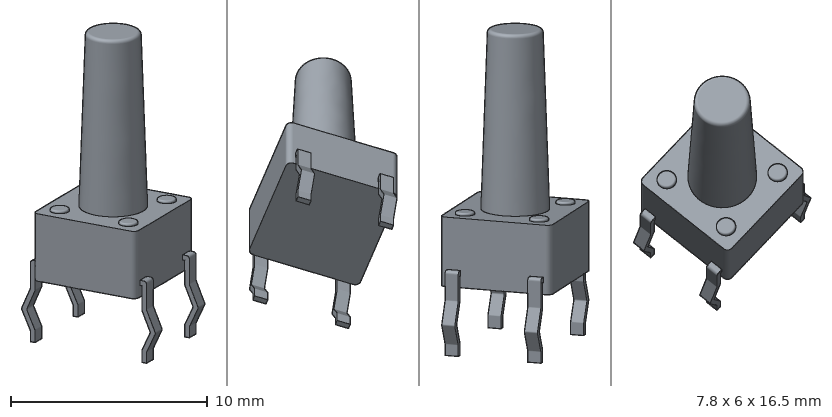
import cadquery as cq
import math

housing_width = 6.0
housing_bottom = 3.5
housing_top = 7.13
corner_radius = 0.3

plunger_top = 16.51
plunger_base_radius = 1.75
plunger_top_radius = 1.42
plunger_fillet = 0.2

rivet_spacing = 4.0
rivet_radius = 0.5
rivet_height = 0.13
rivet_fillet = 0.1

lead_span = 7.8
lead_thickness = 0.28
lead_width = 0.71
lead_spacing = 4.45
lead_outer_x = 3.38
lead_top = 4.4
lead_bend_radius = 0.17
kink_top = 2.87
kink_middle = 1.7
kink_bottom = 0.6
kink_radius = 0.1
lead_embed = 0.33


def make_housing():
    """Square block with rounded vertical corners."""
    return (
        cq.Workplane("XY", origin=(0, 0, housing_bottom))
        .rect(housing_width, housing_width)
        .extrude(housing_top - housing_bottom)
        .edges("|Z")
        .fillet(corner_radius)
    )


def make_plunger():
    """Tapered post with a rounded top rim."""
    height = plunger_top - housing_top
    taper = math.degrees(math.atan2(plunger_base_radius - plunger_top_radius, height))
    return (
        cq.Workplane("XY", origin=(0, 0, housing_top))
        .circle(plunger_base_radius)
        .extrude(height, taper=taper)
        .faces(">Z")
        .edges()
        .fillet(plunger_fillet)
    )


def make_rivets():
    """Four low round heads with rounded rims."""
    return (
        cq.Workplane("XY", origin=(0, 0, housing_top))
        .rect(rivet_spacing, rivet_spacing, forConstruction=True)
        .vertices()
        .circle(rivet_radius)
        .extrude(rivet_height)
        .faces(">Z")
        .edges()
        .fillet(rivet_fillet)
    )


def round_bend(strip, x, y, z, radius):
    """Round the strip's bend edge whose midpoint is at (x, y, z)."""
    return strip.edges(cq.selectors.NearestToPointSelector((x, y, z))).fillet(radius)


def make_lead(y_center):
    """Lead on the +X side: a short arm out of the housing, then a kinked leg."""
    inner_x = lead_outer_x - lead_thickness
    root_x = housing_width / 2 - lead_embed
    lean = math.atan2(lead_span / 2 - lead_outer_x, kink_top - kink_middle)
    bend_shift = lead_thickness * math.tan(lean / 2)
    tip_x = lead_span / 2 + kink_radius * (1 / math.cos(lean) - 1)
    inner_tip_x = tip_x - lead_thickness / math.cos(lean)
    outer_bends = [
        (lead_outer_x, kink_top),
        (tip_x, kink_middle),
        (lead_outer_x, kink_bottom),
    ]
    inner_bends = [
        (inner_x, kink_bottom + bend_shift),
        (inner_tip_x, kink_middle),
        (inner_x, kink_top - bend_shift),
    ]
    leg_outline = [*outer_bends, (lead_outer_x, 0), (inner_x, 0), *inner_bends]
    arm_bottom = lead_top - lead_thickness
    arm_end = [(inner_x, arm_bottom), (root_x, arm_bottom), (root_x, lead_top)]
    outline = [(lead_outer_x, lead_top), *leg_outline, *arm_end]
    strip = (
        cq.Workplane("XZ", origin=(0, y_center + lead_width / 2, 0))
        .polyline(outline)
        .close()
        .extrude(lead_width)
    )
    strip = round_bend(strip, lead_outer_x, y_center, lead_top, lead_bend_radius)
    for x, z in outer_bends + inner_bends:
        strip = round_bend(strip, x, y_center, z, kink_radius)
    return strip


result = make_housing().union(make_plunger()).union(make_rivets())
for y_center in (-lead_spacing / 2, lead_spacing / 2):
    lead = make_lead(y_center)
    result = result.union(lead).union(lead.mirror("YZ"))